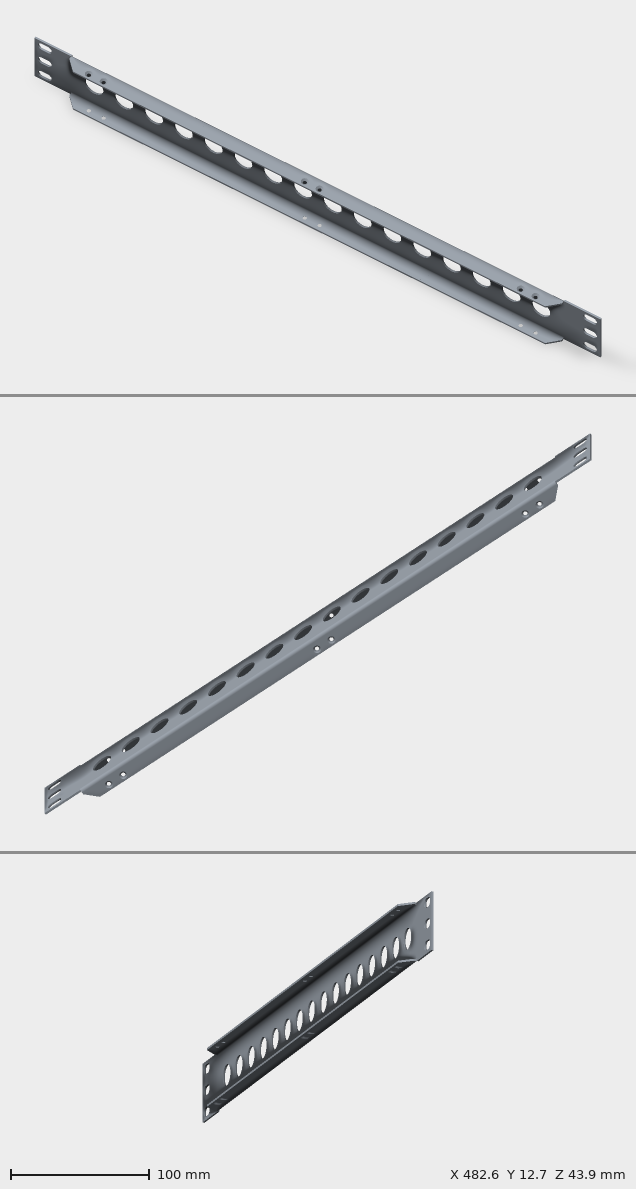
import cadquery as cq
import math

panel_length = 482.6
panel_height = 43.94
panel_depth = 12.7
sheet = 1.52
bend_inner_radius = 1.0
bend_outer_radius = bend_inner_radius + sheet

flange_length = 420.0
flange_corner_cut = 8.7

connector_count = 16
connector_pitch = 25.4
connector_diameter = 15.875

slot_spacing_x = 464.8
slot_spacing_z = 15.875
slot_length = 11.7
slot_width = 7.0

screw_pair_centers = (-184.15, 0, 184.15)
screw_pair_pitch = 12.7
screw_setback = 4.2
screw_diameter = 3.0
countersink_diameter = 5.8
countersink_angle = 90
countersink_depth = (
    (countersink_diameter - screw_diameter) / 2 / math.tan(math.radians(countersink_angle / 2))
)

top_z = panel_height / 2
flange_edge_y = -panel_depth


def make_plate():
    """Flat plate whose middle stretch stops where the bends begin."""
    plate = cq.Workplane("XY").box(panel_length, sheet, panel_height).translate((0, -sheet / 2, 0))
    bend_zone = cq.Workplane("XY").box(flange_length, panel_depth, panel_height)
    flat_middle = cq.Workplane("XY").box(
        flange_length, panel_depth, panel_height - 2 * bend_outer_radius
    )
    return plate.cut(bend_zone.cut(flat_middle))


def make_channel():
    """Plate middle and both flanges as one bent U section with sloped flange ends."""
    half_length = flange_length / 2
    outer = (
        cq.Workplane("XY")
        .box(flange_length, panel_depth, panel_height)
        .edges("|X and >Y")
        .fillet(bend_outer_radius)
    )
    inner = (
        cq.Workplane("XY")
        .box(flange_length, panel_depth, panel_height - 2 * sheet)
        .edges("|X and >Y")
        .fillet(bend_inner_radius)
        .translate((0, -sheet, 0))
    )
    slope_start_y = flange_edge_y + flange_corner_cut
    section = outer.cut(inner).translate((0, -panel_depth / 2, 0))
    flange_outline = (
        cq.Workplane("XY")
        .workplane(offset=-top_z)
        .polyline([
            (-half_length, 0),
            (half_length, 0),
            (half_length, slope_start_y),
            (half_length - flange_corner_cut, flange_edge_y),
            (-half_length + flange_corner_cut, flange_edge_y),
            (-half_length, slope_start_y),
        ])
        .close()
        .extrude(panel_height)
    )
    return section.intersect(flange_outline)


def cut_connector_holes(body):
    """Row of round connector holes along the middle of the plate."""
    holes = (
        cq.Workplane("XZ")
        .rarray(connector_pitch, 1, connector_count, 1)
        .circle(connector_diameter / 2)
        .extrude(sheet)
    )
    return body.cut(holes)


def cut_mounting_slots(body):
    """Three rack mounting slots at each end of the plate."""
    slots = (
        cq.Workplane("XZ")
        .rarray(slot_spacing_x, slot_spacing_z, 2, 3)
        .slot2D(slot_length, slot_width)
        .extrude(sheet)
    )
    return body.cut(slots)


def cut_screw_holes(body):
    """Pairs of screw holes in both flanges, countersunk from outside."""
    screw_y = flange_edge_y + screw_setback
    screw_points = [
        (center + side * screw_pair_pitch / 2, screw_y)
        for center in screw_pair_centers
        for side in (-1, 1)
    ]
    drill = (
        cq.Workplane("XY")
        .pushPoints(screw_points)
        .circle(screw_diameter / 2)
        .extrude(top_z)
    )
    countersinks = (
        cq.Workplane("XY")
        .workplane(offset=top_z)
        .pushPoints(screw_points)
        .circle(countersink_diameter / 2)
        .extrude(-countersink_depth, taper=countersink_angle / 2)
    )
    for cutter in (drill, countersinks):
        body = body.cut(cutter).cut(cutter.mirror("XY"))
    return body


result = make_plate().union(make_channel())
result = cut_connector_holes(result)
result = cut_mounting_slots(result)
result = cut_screw_holes(result)